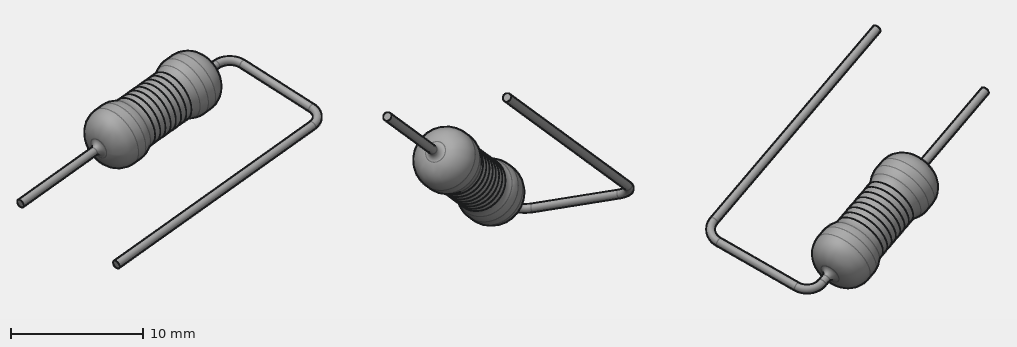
import cadquery as cq
import math

wire_diameter = 0.7
lead_pitch = 10.0
overall_length = 23.35
bend_radius = 1.4

body_diameter = 5.0
body_length = 12.0
body_start = 8.6
end_round = 1.75
collar_length = 0.8
neck_diameter = 4.25
neck_length = 4.01
root_fillet = 0.5

band_diameter = 4.27
band_count = 4

wire_radius = wire_diameter / 2
body_radius = body_diameter / 2
neck_radius = neck_diameter / 2
crossing_y = overall_length - wire_radius
body_middle = body_start + body_length / 2


def make_wire():
    """Round wire bent into a U, both free ends at Y = 0."""
    bend_start = crossing_y - bend_radius
    inset = bend_radius * (1 - math.sqrt(0.5))
    path = (
        cq.Workplane("XY")
        .lineTo(0, bend_start)
        .threePointArc((inset, crossing_y - inset), (bend_radius, crossing_y))
        .lineTo(lead_pitch - bend_radius, crossing_y)
        .threePointArc((lead_pitch - inset, crossing_y - inset), (lead_pitch, bend_start))
        .lineTo(lead_pitch, 0)
    )
    return cq.Workplane("XZ").circle(wire_radius).sweep(path)


def make_disc(diameter, start_y, length):
    """Cylinder on the body axis; Y is measured from the middle of the body."""
    return cq.Workplane("XZ", origin=(0, start_y, 0)).circle(diameter / 2).extrude(-length)


def make_bulb():
    """Bulbous +Y end of the body, from the end of the neck to the root of the lead."""
    neck_end = neck_length / 2
    round_start = body_length / 2 - end_round
    collar_start = round_start - collar_length

    shoulder_rise = body_radius - neck_radius
    shoulder_run = collar_start - neck_end
    shoulder_radius = (shoulder_rise**2 + shoulder_run**2) / (4 * shoulder_rise)
    shoulder_middle = (neck_radius + shoulder_rise / 2, neck_end + shoulder_run / 2)

    round_center_x = body_radius - end_round
    center_distance = end_round + root_fillet
    offset_x = wire_radius + root_fillet - round_center_x
    offset_y = math.sqrt(center_distance**2 - offset_x**2)
    fillet_end = round_start + offset_y
    touch_share = end_round / center_distance
    touch_point = (round_center_x + offset_x * touch_share, round_start + offset_y * touch_share)

    profile = (
        cq.Workplane("XY")
        .moveTo(0, neck_end)
        .lineTo(neck_radius, neck_end)
        .radiusArc(shoulder_middle, shoulder_radius)
        .tangentArcPoint((body_radius, collar_start), relative=False)
        .lineTo(body_radius, round_start)
        .tangentArcPoint(touch_point, relative=False)
        .tangentArcPoint((wire_radius, fillet_end), relative=False)
        .lineTo(0, fillet_end)
        .close()
    )
    return profile.revolve(360, (0, 0, 0), (0, 1, 0))


def make_body():
    """Dog-bone body with two bulbs and raised bands alternating with equal gaps."""
    body = make_disc(neck_diameter, -neck_length / 2, neck_length)
    bulb = make_bulb()
    body = body.union(bulb).union(bulb.mirror("XZ"))
    band_width = neck_length / (2 * band_count - 1)
    for index in range(band_count):
        band_start = 2 * index * band_width - neck_length / 2
        body = body.union(make_disc(band_diameter, band_start, band_width))
    return body.translate((0, body_middle, 0))


result = make_body().union(make_wire())